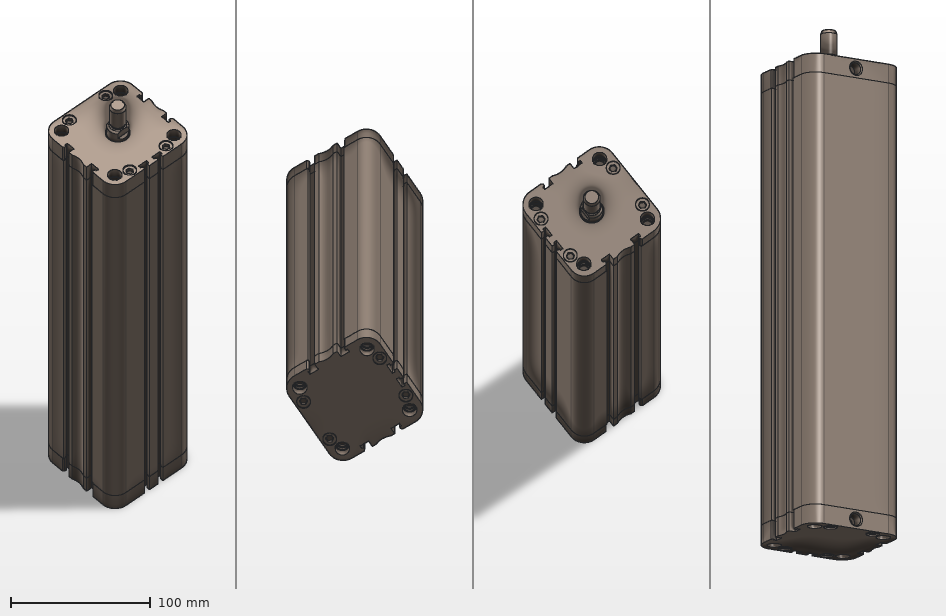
import cadquery as cq
import math

total_length = 379.0
width = 77.0
half_width = width / 2
corner_radius = 11.7
cap_thickness = 14.0

rod_diameter = 16.0
rod_projection = 30.0
flats_width = 12.0
flats_end_height = 3.0
rod_shoulder_chamfer = 1.5
thread_diameter = 12.0
thread_tip_diameter = 10.0
thread_tip_length = 2.5
relief_diameter = 10.2
thread_end_chamfer = (thread_diameter - relief_diameter) / 2
relief_length = 2.3
thread_length = 18.5

bore_rim_diameter = 18.0
bore_rim_angle = 90

slot_depth = 5.0
slot_lip = 2.5

side_slot_inner = 9.5
side_slot_outer = 15.0
side_slot_undercut = 1.5
cap_lip_chamfer = 1.0

tee_slot_offset = 6.5
tee_slot_opening = 4.5
tee_slot_width = 7.5

groove_radius = 14.5
groove_width = 12.0

corner_hole_offset = 28.5
corner_hole_steps = [(10.2, 7.5), (8.7, 10.5), (7.0, cap_thickness)]

recess_x = 32.2
recess_y = 17.5
recess_diameter = 10.0
recess_depth = 1.0
socket_flats = 5.0
socket_depth = 3.8

port_rim_diameter = 10.5
port_diameter = 8.7
port_chamfer = (port_rim_diameter - port_diameter) / 2
port_depth = 9.5
passage_diameter = 4.0
passage_depth = 13.3

barrel_bottom = cap_thickness
front_face = total_length - rod_projection
barrel_top = front_face - cap_thickness
relief_top = total_length - thread_length
shoulder = relief_top - relief_length

SIGNS = (-1, 1)


def side_slot_cutters(length, lip_chamfer):
    """Undercut slots in the -Y and +Y sides, mirrored about both centre planes."""
    floor = half_width - slot_depth
    lip = half_width - slot_lip
    undercut = side_slot_outer + side_slot_undercut
    points = [(side_slot_inner, half_width), (side_slot_inner, floor), (undercut, floor),
              (undercut, lip), (side_slot_outer, lip)]
    if lip_chamfer:
        points.append((side_slot_outer, half_width - lip_chamfer))
    points.append((side_slot_outer + lip_chamfer, half_width))
    cutters = []
    for sx in SIGNS:
        for sy in SIGNS:
            outline = [(sx * x, sy * y) for x, y in points]
            cutters.append(cq.Workplane("XY").polyline(outline).close().extrude(length))
    return cutters


def tee_slot_cutters(length):
    """T-shaped slots in the +X side."""
    head_depth = slot_depth - slot_lip
    cutters = []
    for sy in SIGNS:
        y = sy * tee_slot_offset
        neck = cq.Workplane("XY").box(slot_depth, tee_slot_opening, length, centered=(False, True, False))
        head = cq.Workplane("XY").box(head_depth, tee_slot_width, length, centered=(False, True, False))
        cutters.append(neck.union(head).translate((half_width - slot_depth, y, 0)))
    return cutters


def middle_groove_cutters(length):
    """Shallow cylindrical grooves in the middle of the -Y and +Y sides."""
    axis_offset = half_width + math.sqrt(groove_radius ** 2 - (groove_width / 2) ** 2)
    return [cq.Workplane("XY").center(0, sy * axis_offset).circle(groove_radius).extrude(length)
            for sy in SIGNS]


def profile_block(length, lip_chamfer=0):
    """Rounded square bar with every lengthwise slot and groove, standing on Z = 0."""
    block = cq.Workplane("XY").box(width, width, length, centered=(True, True, False))
    block = block.edges("|Z").fillet(corner_radius)
    cutters = side_slot_cutters(length, lip_chamfer)
    cutters += tee_slot_cutters(length)
    cutters += middle_groove_cutters(length)
    for cutter in cutters:
        block = block.cut(cutter)
    return block


def make_barrel():
    return profile_block(barrel_top - barrel_bottom).translate((0, 0, barrel_bottom))


def end_hole(x, y, diameter, depth):
    """Round cutter sunk from the outer face of a cap, which lies at Z = cap_thickness."""
    floor = cq.Workplane("XY").workplane(offset=cap_thickness - depth)
    return floor.center(x, y).circle(diameter / 2).extrude(depth)


def socket_cutter():
    """Hexagonal socket with its points along Y."""
    across_points = socket_flats / math.cos(math.pi / 6)
    hexagon = cq.Workplane("XY").workplane(offset=cap_thickness - socket_depth).polygon(6, across_points)
    quarter_turn = 90
    return hexagon.extrude(socket_depth).rotate((0, 0, 0), (0, 0, 1), quarter_turn)


def port_cutter(has_passage):
    """Chamfered port entering from the -X side at mid thickness, with or without a narrower passage."""
    rim, bore, passage = port_rim_diameter / 2, port_diameter / 2, passage_diameter / 2
    outline = [(0, 0), (0, rim), (port_chamfer, bore), (port_depth, bore)]
    if has_passage:
        outline += [(port_depth, passage), (passage_depth, passage), (passage_depth, 0)]
    else:
        outline.append((port_depth, 0))
    port = cq.Workplane("XY").polyline(outline).close().revolve(360, (0, 0, 0), (1, 0, 0))
    return port.translate((-half_width, 0, cap_thickness / 2))


def make_cap(has_passage):
    """Cap with its outer face up and its inner face on Z = 0."""
    cap = profile_block(cap_thickness, cap_lip_chamfer)
    for sx in SIGNS:
        for sy in SIGNS:
            for diameter, depth in corner_hole_steps:
                cap = cap.cut(end_hole(sx * corner_hole_offset, sy * corner_hole_offset, diameter, depth))
            cap = cap.cut(end_hole(sx * recess_x, sy * recess_y, recess_diameter, recess_depth))
            cap = cap.cut(socket_cutter().translate((sx * recess_x, sy * recess_y, 0)))
    return cap.cut(port_cutter(has_passage))


def make_front_cap():
    """Cap with a bore for the rod, countersunk at its outer end."""
    cap = make_cap(has_passage=False)
    cap = cap.faces(">Z").workplane(origin=(0, 0, 0)).cskHole(rod_diameter, bore_rim_diameter, bore_rim_angle)
    return cap.translate((0, 0, barrel_top))


def make_rear_cap():
    """Cap without a rod bore, turned over so that its outer face lies on Z = 0."""
    return make_cap(has_passage=True).mirror("XY").translate((0, 0, cap_thickness))


def flat_cutter(side):
    """Cutter for one wrench flat, with a 45 degree run-out at its lower end."""
    flat = flats_width / 2
    outside = rod_diameter
    flat_bottom = front_face + flats_end_height
    outline = [(side * flat, shoulder), (side * flat, flat_bottom),
               (side * outside, flat_bottom - (outside - flat)), (side * outside, shoulder)]
    return cq.Workplane("XZ").polyline(outline).close().extrude(rod_diameter, both=True)


def make_rod():
    """Turned rod from the barrel end to the thread tip, with two wrench flats facing -X and +X."""
    rod, thread = rod_diameter / 2, thread_diameter / 2
    tip, relief = thread_tip_diameter / 2, relief_diameter / 2
    outline = [(0, barrel_top), (rod, barrel_top), (rod, shoulder - rod_shoulder_chamfer),
               (rod - rod_shoulder_chamfer, shoulder), (relief, shoulder),
               (relief, relief_top - thread_end_chamfer),
               (thread, relief_top), (thread, total_length - thread_tip_length),
               (tip, total_length), (0, total_length)]
    body = cq.Workplane("XZ").polyline(outline).close().revolve(360, (0, 0, 0), (0, 1, 0))
    for side in SIGNS:
        body = body.cut(flat_cutter(side))
    return body


barrel = make_barrel()
front_cap = make_front_cap()
rear_cap = make_rear_cap()
rod = make_rod()

bodies = [barrel, front_cap, rear_cap, rod]
result = cq.Compound.makeCompound([body.solids().val() for body in bodies])